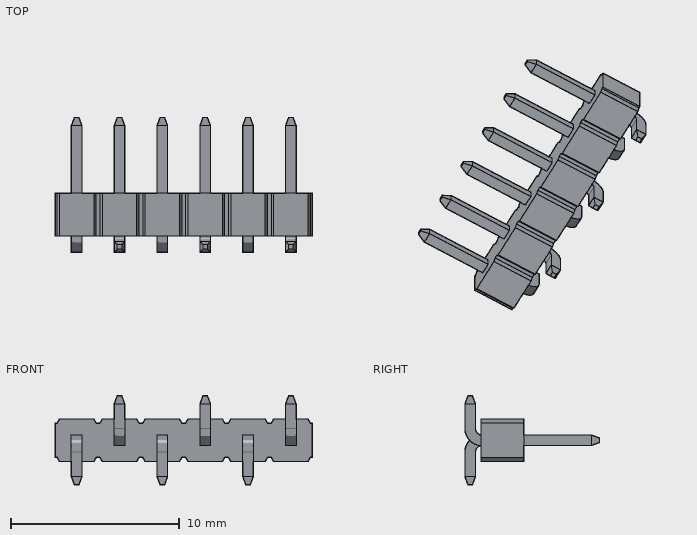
import cadquery as cq
import math


pin_count = 6
pitch = 2.54
housing_depth = 2.54
housing_height = 2.54
notch_half_width = 0.25
notch_half_floor = 0.11
notch_depth = 0.25

pin_size = 0.64
bend_inner_radius = 0.38
mating_length = 4.5
tail_offset = 0.96
tail_reach = 2.65
tip_length = 0.5
tip_size = 0.27

housing_front = -housing_depth / 2
half_pin = pin_size / 2
bend_outer_radius = bend_inner_radius + pin_size
bend_mid_radius = bend_inner_radius + half_pin
mating_tip = housing_depth / 2 + mating_length
tail_center = housing_front - tail_offset + half_pin
bend_start = tail_center + bend_mid_radius


def unit_center(index):
    """X position of one pin and of its housing unit."""
    return (index - (pin_count - 1) / 2) * pitch


def housing_unit():
    """Block with four bevelled edges along Y and a narrow ledge outside each bevel."""
    half_width = pitch / 2
    half_height = housing_height / 2
    foot_x = half_width - notch_half_floor
    top_x = half_width - notch_half_width
    foot_z = half_height - notch_depth
    outline = [
        (-half_width, foot_z),
        (-foot_x, foot_z),
        (-top_x, half_height),
        (top_x, half_height),
        (foot_x, foot_z),
        (half_width, foot_z),
        (half_width, -foot_z),
        (foot_x, -foot_z),
        (top_x, -half_height),
        (-top_x, -half_height),
        (-foot_x, -foot_z),
        (-half_width, -foot_z),
    ]
    return cq.Workplane("XZ").polyline(outline).close().extrude(housing_depth / 2, both=True)


def tapered_tip(base, direction):
    """Truncated pyramid that ends a pin at `base`, pointing along `direction`."""
    plane = cq.Plane(origin=base, xDir=(1, 0, 0), normal=direction)
    return (
        cq.Workplane(plane)
        .rect(pin_size, pin_size)
        .workplane(offset=tip_length)
        .rect(tip_size, tip_size)
        .loft(ruled=True)
    )


def bent_pin(tail_sign):
    """Pin at X = 0 whose tail bends up (tail_sign = 1) or down (tail_sign = -1)."""
    mating_shoulder = mating_tip - tip_length
    tail_shoulder = tail_sign * (tail_reach - tip_length)
    bend_center_z = tail_sign * bend_mid_radius
    outer_face = tail_center - half_pin
    inner_face = tail_center + half_pin
    diagonal = math.sqrt(0.5)
    outer_mid = bend_outer_radius * diagonal
    inner_mid = bend_inner_radius * diagonal
    outer_side = -tail_sign * half_pin
    inner_side = tail_sign * half_pin

    shaft = (
        cq.Workplane("YZ")
        .moveTo(mating_shoulder, outer_side)
        .lineTo(bend_start, outer_side)
        .threePointArc(
            (bend_start - outer_mid, bend_center_z - tail_sign * outer_mid),
            (outer_face, bend_center_z),
        )
        .lineTo(outer_face, tail_shoulder)
        .lineTo(inner_face, tail_shoulder)
        .lineTo(inner_face, bend_center_z)
        .threePointArc(
            (bend_start - inner_mid, bend_center_z - tail_sign * inner_mid),
            (bend_start, inner_side),
        )
        .lineTo(mating_shoulder, inner_side)
        .close()
        .extrude(half_pin, both=True)
    )
    mating_end = tapered_tip((0, mating_shoulder, 0), (0, 1, 0))
    tail_end = tapered_tip((0, tail_center, tail_shoulder), (0, 0, tail_sign))
    return shaft.union(mating_end).union(tail_end)


def pin_header():
    """All housing units and pins joined; tails alternate, the first one down."""
    unit = housing_unit()
    header = cq.Workplane("XY")
    for index in range(pin_count):
        header = header.union(unit.translate((unit_center(index), 0, 0)))
    header = header.clean()
    for index in range(pin_count):
        tail_sign = -1 if index % 2 == 0 else 1
        pin = bent_pin(tail_sign).translate((unit_center(index), 0, 0))
        header = header.union(pin)
    return header


result = pin_header()